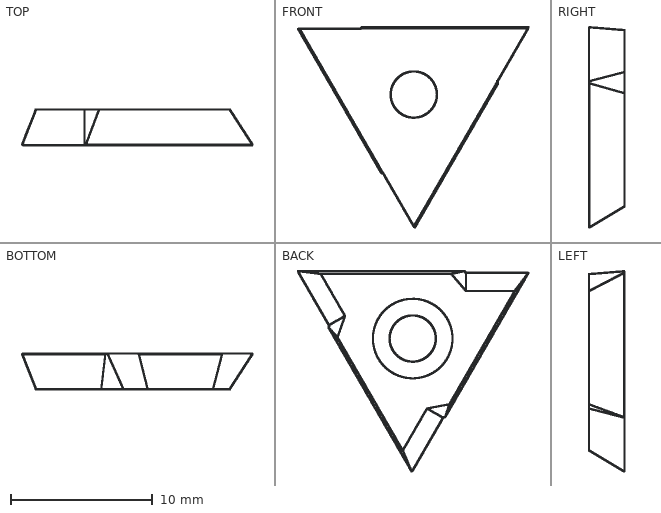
import cadquery as cq
import math

thickness = 2.54
side_length = 16.27
side_count = 3

edge_step = 0.1
edge_depth = 0.07
flank_drop = 0.2
back_land = 0.1

relief_drop = 1.32
relief_start = -3.77
step_run_per_rise = 0.86

bore_radius = 1.63
head_radius = 2.81
bore_depth = 0.72
cone_angle = 48.0

relief_drop_at_edge = relief_drop * edge_depth / thickness
mean_inradius = side_length / (2 * math.tan(math.pi / side_count))
face_inradius = mean_inradius + (relief_drop_at_edge - edge_step) / 2
edge_inradius = face_inradius + edge_step
reach = side_length


def turned(solid, index):
    """Turn a top-side solid about the hole axis onto another side."""
    return solid.rotate((0, 0, 0), (0, 1, 0), index * 360 / side_count)


def side_prism():
    """Everything below the top flank, as a long bar along X."""
    back_inradius = edge_inradius - flank_drop
    profile = [
        (0, -reach),
        (0, face_inradius),
        (edge_depth, edge_inradius),
        (thickness - back_land, back_inradius),
        (thickness, back_inradius),
        (thickness, -reach),
    ]
    return cq.Workplane("YZ").polyline(profile).close().extrude(reach, both=True)


def relief_outline(depth, height):
    """Closed wire around the relieved region at one depth."""
    points = [
        (relief_start, height),
        (-reach, height),
        (-reach, height + reach),
        (relief_start + step_run_per_rise * reach, height + reach),
    ]
    return cq.Wire.makePolygon([cq.Vector(x, depth, z) for x, z in points], close=True)


def relief_cutter():
    """Region above the relief face and left of the leaning step wall."""
    front = relief_outline(0, face_inradius)
    back = relief_outline(thickness, face_inradius - relief_drop)
    return cq.Workplane(obj=cq.Solid.makeLoft([front, back], True))


def hole_cutter():
    """Bore at the front, a cone behind it, then a wider bore through the back."""
    cone_depth = (head_radius - bore_radius) / math.tan(math.radians(cone_angle))
    profile = [
        (0, 0),
        (bore_radius, 0),
        (bore_radius, bore_depth),
        (head_radius, bore_depth + cone_depth),
        (head_radius, thickness),
        (0, thickness),
    ]
    return cq.Workplane("XY").polyline(profile).close().revolve(360, (0, 0, 0), (0, 1, 0))


body = side_prism()
for index in range(1, side_count):
    body = body.intersect(turned(side_prism(), index))
for index in range(side_count):
    body = body.cut(turned(relief_cutter(), index))

result = body.cut(hole_cutter())